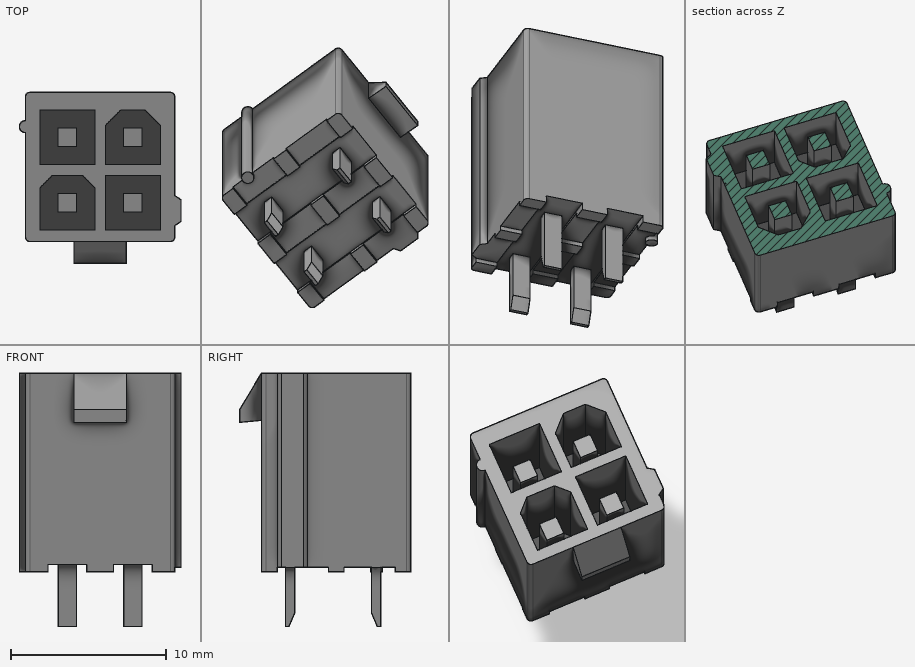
import cadquery as cq


total_height = 16.3
housing_width = 9.6
housing_height = 12.78
corner_radius = 0.3
half_width = housing_width / 2

pitch = 4.2
grid_y = -0.2

pocket_size = 3.52
pocket_depth = 9.95
rear_chamfer = 1.0
front_chamfer = 0.8

lengthwise_channel_width = 2.48
lengthwise_channel_depth = 0.47
crosswise_channel_width = 3.28
crosswise_channel_depth = 0.3
crosswise_foot_width = (housing_width - 2 * crosswise_channel_width) / 3
crosswise_channel_pitch = crosswise_channel_width + crosswise_foot_width

rib_radius = 0.39
rib_y = 2.59

key_depth = 0.4
key_root_width = 1.94
key_side_slope = 0.28
key_y = -2.8

latch_width = 3.35
latch_depth = 1.4
latch_ramp_height = 2.35
latch_nose_drop = 3.18
latch_root_drop = 3.05

pin_size = 1.19
pin_recess = 2.93
tail_thickness = 0.6
tail_outer_offset = 3.06
tail_length = total_height - housing_height
tail_tip_thickness = 0.23
tail_taper_height = 0.88
floor_z = housing_height - pocket_depth


def make_housing_block():
    block = cq.Workplane("XY").rect(housing_width, housing_width).extrude(housing_height)
    return block.edges("|Z").fillet(corner_radius)


def make_key():
    root_x = half_width
    tip_x = half_width + key_depth
    root_half = key_root_width / 2
    tip_half = root_half - key_side_slope
    outline = [
        (0, key_y - root_half),
        (root_x, key_y - root_half),
        (tip_x, key_y - tip_half),
        (tip_x, key_y + tip_half),
        (root_x, key_y + root_half),
        (0, key_y + root_half),
    ]
    return cq.Workplane("XY").polyline(outline).close().extrude(housing_height)


def make_rib():
    return cq.Workplane("XY").center(-half_width, rib_y).circle(rib_radius).extrude(housing_height)


def make_latch():
    face_y = -half_width
    nose_y = face_y - latch_depth
    outline = [
        (face_y, housing_height),
        (nose_y, housing_height - latch_ramp_height),
        (nose_y, housing_height - latch_nose_drop),
        (face_y, housing_height - latch_root_drop),
    ]
    return cq.Workplane("YZ").polyline(outline).close().extrude(latch_width / 2, both=True)


def make_channels():
    """Two channels along Y and two along X, leaving nine feet between them."""
    channels = cq.Workplane("XY")
    cut_length = 2 * housing_width
    for side in (-1, 1):
        lengthwise = cq.Workplane("XY").center(side * pitch / 2, 0)
        lengthwise = lengthwise.rect(lengthwise_channel_width, cut_length).extrude(lengthwise_channel_depth)
        crosswise = cq.Workplane("XY").center(0, side * crosswise_channel_pitch / 2)
        crosswise = crosswise.rect(cut_length, crosswise_channel_width).extrude(crosswise_channel_depth)
        channels = channels.add(lengthwise).add(crosswise)
    return channels.combine()


def make_pocket(x, y, chamfer):
    """Square pocket; a nonzero chamfer bevels its two +Y corners."""
    pocket = cq.Workplane("XY", origin=(x, y, floor_z)).rect(pocket_size, pocket_size).extrude(pocket_depth)
    if chamfer:
        pocket = pocket.edges("|Z and >Y").chamfer(chamfer)
    return pocket


def make_pin(x, y):
    """Square pin standing up from the pocket floor."""
    pin_height = pocket_depth - pin_recess
    return cq.Workplane("XY", origin=(x, y, floor_z)).rect(pin_size, pin_size).extrude(pin_height)


def make_tail(x, row_side):
    """Flat tail below the housing, tapered on the face towards the other row."""
    outer_y = grid_y + row_side * tail_outer_offset
    inner_y = outer_y - row_side * tail_thickness
    tip_y = outer_y - row_side * tail_tip_thickness
    outline = [
        (outer_y, floor_z),
        (inner_y, floor_z),
        (inner_y, tail_taper_height - tail_length),
        (tip_y, -tail_length),
        (outer_y, -tail_length),
    ]
    tail = cq.Workplane("YZ", origin=(x, 0, 0)).polyline(outline).close()
    return tail.extrude(pin_size / 2, both=True)


result = make_housing_block().union(make_key()).union(make_latch())
result = result.cut(make_channels()).union(make_rib())

for row_side, row_chamfer in ((-1, front_chamfer), (1, rear_chamfer)):
    row_y = grid_y + row_side * pitch / 2
    for column_side in (-1, 1):
        column_x = column_side * pitch / 2
        chamfer = row_chamfer if column_side == row_side else 0
        result = result.cut(make_pocket(column_x, row_y, chamfer))
        result = result.union(make_pin(column_x, row_y))
        result = result.union(make_tail(column_x, row_side))